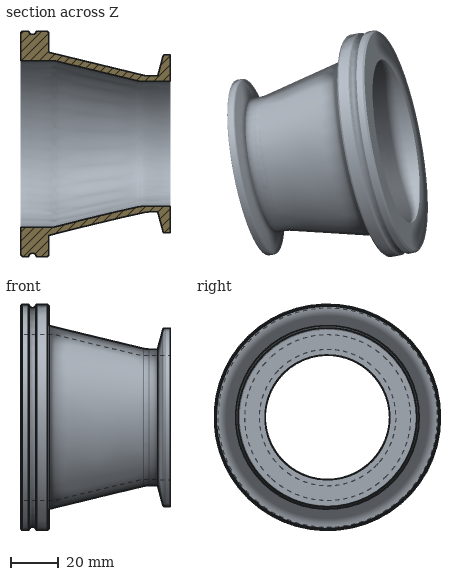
import cadquery as cq
import math

total_length = 63.0

large_radius = 47.5
large_thickness = 12.0
large_chamfer = 0.8

groove_center = 5.0
groove_half_width = 1.8
groove_depth = 1.4
groove_bevel = 0.4

cone_start_radius = 38.6
neck_radius = 28.7
cone_end = 52.7
bend_radius = 9.5

large_bore_radius = 34.9
small_bore_radius = 26.1
bore_cone_start = 14.25

small_radius = 37.5
clamp_face_start = 57.6
clamp_angle = 15.0
rim_fillet = 0.95
end_fillet = 0.4

cone_slope = (cone_start_radius - neck_radius) / (cone_end - large_thickness)
bore_cone_length = (large_bore_radius - small_bore_radius) / cone_slope
bore_cone_end = bore_cone_start + bore_cone_length
clamp_face_depth = (small_radius - neck_radius) * math.tan(math.radians(clamp_angle))
rim_start = clamp_face_start + clamp_face_depth


def revolve_about_x(profile):
    return profile.close().revolve(360, (0, 0, 0), (1, 0, 0))


def round_circle(solid, x, radius, fillet):
    """Fillet the circular edge of the given radius around the X axis at x."""
    margin = 0.05
    reach = radius + margin
    box = cq.selectors.BoxSelector(
        (x - margin, -reach, -reach), (x + margin, reach, reach), boundingbox=True
    )
    return solid.edges(box).edges(cq.selectors.RadiusNthSelector(-1)).fillet(fillet)


def make_outer_body():
    body = revolve_about_x(
        cq.Workplane("XY")
        .moveTo(0, 0)
        .lineTo(0, large_radius - large_chamfer)
        .lineTo(large_chamfer, large_radius)
        .lineTo(large_thickness - large_chamfer, large_radius)
        .lineTo(large_thickness, large_radius - large_chamfer)
        .lineTo(large_thickness, cone_start_radius)
        .lineTo(cone_end, neck_radius)
        .lineTo(clamp_face_start, neck_radius)
        .lineTo(rim_start, small_radius)
        .lineTo(total_length, small_radius)
        .lineTo(total_length, 0)
    )
    body = round_circle(body, cone_end, neck_radius, bend_radius)
    body = round_circle(body, rim_start, small_radius, rim_fillet)
    return round_circle(body, total_length, small_radius, end_fillet)


def make_bore():
    bore = revolve_about_x(
        cq.Workplane("XY")
        .moveTo(0, 0)
        .lineTo(0, large_bore_radius)
        .lineTo(bore_cone_start, large_bore_radius)
        .lineTo(bore_cone_end, small_bore_radius)
        .lineTo(total_length, small_bore_radius)
        .lineTo(total_length, 0)
    )
    bore = round_circle(bore, bore_cone_start, large_bore_radius, bend_radius)
    return round_circle(bore, bore_cone_end, small_bore_radius, bend_radius)


def make_groove():
    arc_half_width = groove_half_width - groove_bevel
    arc_edge_radius = large_radius - groove_bevel
    return revolve_about_x(
        cq.Workplane("XY")
        .moveTo(groove_center - groove_half_width, large_radius)
        .lineTo(groove_center - arc_half_width, arc_edge_radius)
        .threePointArc(
            (groove_center, large_radius - groove_depth),
            (groove_center + arc_half_width, arc_edge_radius),
        )
        .lineTo(groove_center + groove_half_width, large_radius)
    )


result = make_outer_body().cut(make_groove()).cut(make_bore())